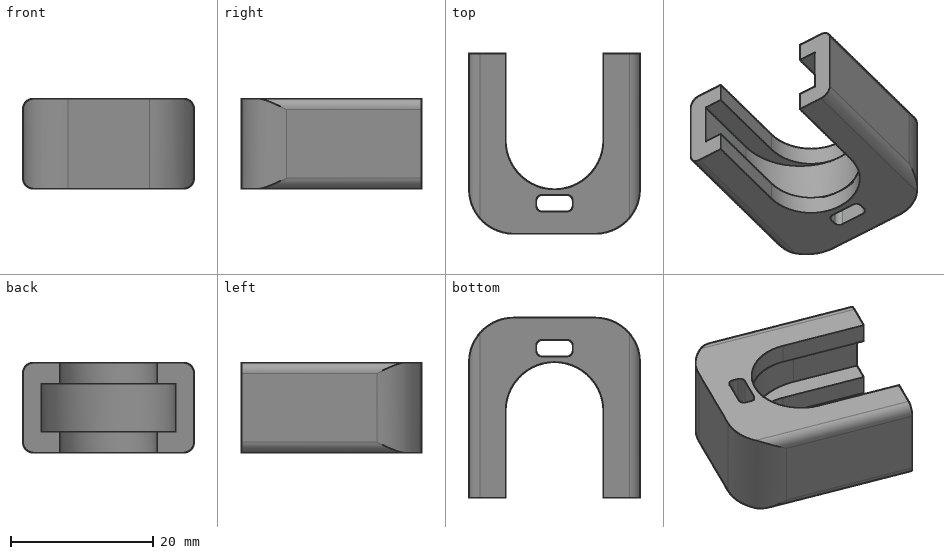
import cadquery as cq

WIDTH = 24.13
LENGTH = 25.4
HEIGHT = 12.7
FRONT_CORNER_RADIUS = 6.35
SIDE_EDGE_RADIUS = 1.52

FRONT_WALL = 6.3
OPENING_WIDTH = 13.72
GROOVE_DEPTH = 2.62
LIP_THICKNESS = 3.0
GROOVE_WIDTH = OPENING_WIDTH + 2 * GROOVE_DEPTH
GROOVE_HEIGHT = HEIGHT - 2 * LIP_THICKNESS

WINDOW_WIDTH = 5.08
WINDOW_LENGTH = 2.29
WINDOW_FRONT = 3.18
WINDOW_CORNER_RADIUS = 0.75


def make_body():
    """Block with rounded long side edges and rounded vertical front corners."""
    profile = (
        cq.Workplane("XY")
        .box(WIDTH, LENGTH, HEIGHT, centered=(True, False, False))
        .edges("|Y")
        .fillet(SIDE_EDGE_RADIUS)
    )
    plan = (
        cq.Workplane("XY")
        .box(WIDTH, LENGTH, HEIGHT, centered=(True, False, False))
        .edges("|Z and <Y")
        .fillet(FRONT_CORNER_RADIUS)
    )
    return profile.intersect(plan)


def make_u_cut(width, bottom, height):
    """U-shaped prism, open at the back, whose round end touches the front wall."""
    radius = width / 2
    arc_start = FRONT_WALL + radius
    return (
        cq.Workplane("XY", origin=(0, 0, bottom))
        .moveTo(-radius, LENGTH)
        .lineTo(-radius, arc_start)
        .threePointArc((0, FRONT_WALL), (radius, arc_start))
        .lineTo(radius, LENGTH)
        .close()
        .extrude(height)
    )


def make_window():
    """Rounded rectangular prism through the full height."""
    return (
        cq.Workplane("XY")
        .box(WINDOW_WIDTH, WINDOW_LENGTH, HEIGHT, centered=(True, False, False))
        .edges("|Z")
        .fillet(WINDOW_CORNER_RADIUS)
        .translate((0, WINDOW_FRONT, 0))
    )


def make_right_half():
    """Half with X > 0, so the tangent round ends meet only on the symmetry plane."""
    half_space = cq.Workplane("XY").box(WIDTH, LENGTH, HEIGHT, centered=False)
    opening = make_u_cut(OPENING_WIDTH, 0, HEIGHT).intersect(half_space)
    groove = make_u_cut(GROOVE_WIDTH, LIP_THICKNESS, GROOVE_HEIGHT).intersect(half_space)
    half_body = make_body().intersect(half_space)
    return half_body.cut(opening).cut(groove).cut(make_window())


right_half = make_right_half()
result = right_half.union(right_half.mirror("YZ"))